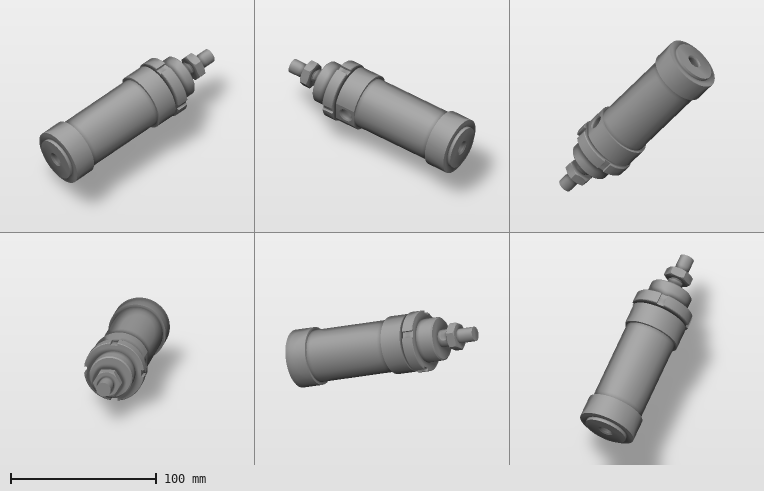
import cadquery as cq
import math


REAR_BOSS_END = 2.4
REAR_CAP_END = 17.6
HEAD_START = 76.6
HEAD_END = 91.4
RING_START = 93.3
RING_END = 101.4
NOSE_END = 113.5
COLLAR_END = 119.7
NUT_START = 121.5
NUT_END = 127.6
ROD_TIP = 139.5

CAP_DIAMETER = 40.0
TUBE_DIAMETER = 36.0
BOSS_DIAMETER = 30.0
NOSE_CHAMFER = 0.8

PORT_DIAMETER = 8.6
PORT_MOUTH_DIAMETER = 10.5
PORT_CHAMFER = (PORT_MOUTH_DIAMETER - PORT_DIAMETER) / 2
PORT_TIP_ANGLE = 118
REAR_PORT_DEPTH = 9.8
SIDE_PORT_DEPTH = 9.8
SIDE_PORT_Y = 83.4
PORT_FLAT_OFFSET = 18.7

COLLAR_DIAMETER = 12.0
NECK_DIAMETER = 8.8
THREAD_DIAMETER = 10.0
ROD_FLAT_WIDTH = 10.3
ROD_FLAT_LENGTH = 3.5
RUNOUT_LENGTH = 1.4
ROD_SOCKET_DEPTH = 14.0

NUT_ACROSS_FLATS = 17.0
NUT_CHAMFER_LENGTH = 0.7

RING_DIAMETER = 42.0
RING_CHAMFER = 0.4
SLOT_WIDTH = 4.7
SLOT_DEPTH = 2.1
SLOT_COUNT = 4


def cylinder(diameter, start, end):
    """Solid cylinder about the Y axis between two Y stations."""
    plane = cq.Plane(origin=(0, start, 0), xDir=(1, 0, 0), normal=(0, 1, 0))
    return cq.Workplane(plane).circle(diameter / 2).extrude(end - start)


def revolve_about_y(points):
    """Solid of revolution from (radius, Y) points."""
    return cq.Workplane("XY").polyline(points).close().revolve(360, (0, 0, 0), (0, 1, 0))


def rear_port():
    """Countersunk blind hole with a conical bottom, opening at the rear face."""
    radius = PORT_DIAMETER / 2
    tip_length = radius / math.tan(math.radians(PORT_TIP_ANGLE / 2))
    return revolve_about_y([
        (0, 0),
        (radius + PORT_CHAMFER, 0),
        (radius, PORT_CHAMFER),
        (radius, REAR_PORT_DEPTH),
        (0, REAR_PORT_DEPTH + tip_length),
    ])


def side_port():
    """Countersunk flat-bottomed hole running in +X from the flat of the head."""
    plane = cq.Plane(origin=(-PORT_FLAT_OFFSET, SIDE_PORT_Y, 0), xDir=(0, 1, 0), normal=(1, 0, 0))
    bore = cq.Workplane(plane).circle(PORT_DIAMETER / 2).extrude(SIDE_PORT_DEPTH)
    mouth = (
        cq.Workplane(plane)
        .circle(PORT_MOUTH_DIAMETER / 2)
        .workplane(offset=PORT_CHAMFER)
        .circle(PORT_DIAMETER / 2)
        .loft()
    )
    return bore.union(mouth)


def make_housing():
    """Rear cap, tube, head and nose, with both ports and the rod socket."""
    rear_cap = cylinder(CAP_DIAMETER, REAR_BOSS_END, REAR_CAP_END)
    head = cylinder(CAP_DIAMETER, HEAD_START, HEAD_END)
    flat_cut = cq.Workplane("XY").box(
        CAP_DIAMETER, HEAD_END - HEAD_START, CAP_DIAMETER, centered=(True, False, True)
    ).translate((-PORT_FLAT_OFFSET - CAP_DIAMETER / 2, HEAD_START, 0))
    nose = cylinder(BOSS_DIAMETER, HEAD_END, NOSE_END).faces(">Y").chamfer(NOSE_CHAMFER)
    return (
        cylinder(BOSS_DIAMETER, 0, REAR_BOSS_END)
        .union(rear_cap)
        .union(cylinder(TUBE_DIAMETER, REAR_CAP_END, HEAD_START))
        .union(head.cut(flat_cut))
        .union(nose)
        .cut(rear_port())
        .cut(side_port())
        .cut(cylinder(COLLAR_DIAMETER, NOSE_END - ROD_SOCKET_DEPTH, NOSE_END))
    )


def wrench_flat_cut():
    """Cutter for the flat on the +X side of the collar, sloping out at its inner end."""
    flat_x = ROD_FLAT_WIDTH / 2
    outer_x = COLLAR_DIAMETER / 2
    flat_end = COLLAR_END - ROD_FLAT_LENGTH
    profile = [
        (flat_x, COLLAR_END),
        (flat_x, flat_end),
        (outer_x, flat_end - RUNOUT_LENGTH),
        (outer_x, COLLAR_END),
    ]
    return cq.Workplane("XY").polyline(profile).close().extrude(COLLAR_DIAMETER / 2, both=True)


def make_rod():
    """Piston rod with a wrench collar, a relief neck and a plain threaded end."""
    flat = wrench_flat_cut()
    return (
        cylinder(COLLAR_DIAMETER, NOSE_END - ROD_SOCKET_DEPTH, COLLAR_END)
        .cut(flat)
        .cut(flat.mirror("YZ"))
        .union(cylinder(NECK_DIAMETER, COLLAR_END, NUT_START))
        .union(cylinder(THREAD_DIAMETER, NUT_START, ROD_TIP))
    )


def make_nut():
    """Hexagon nut with corners on the X axis and both ends turned conical."""
    corner_radius = NUT_ACROSS_FLATS / math.sqrt(3)
    face_radius = NUT_ACROSS_FLATS / 2
    plane = cq.Plane(origin=(0, NUT_START, 0), xDir=(1, 0, 0), normal=(0, 1, 0))
    hexagon = cq.Workplane(plane).polygon(6, 2 * corner_radius).extrude(NUT_END - NUT_START)
    turned_blank = revolve_about_y([
        (0, NUT_START),
        (face_radius, NUT_START),
        (corner_radius, NUT_START + NUT_CHAMFER_LENGTH),
        (corner_radius, NUT_END - NUT_CHAMFER_LENGTH),
        (face_radius, NUT_END),
        (0, NUT_END),
    ])
    return hexagon.intersect(turned_blank).cut(cylinder(THREAD_DIAMETER, NUT_START, NUT_END))


def make_lock_ring():
    """Chamfered ring around the nose, with spanner slots in its rim."""
    ring = cylinder(RING_DIAMETER, RING_START, RING_END).edges().chamfer(RING_CHAMFER)
    ring = ring.cut(cylinder(BOSS_DIAMETER, RING_START, RING_END))
    slot = cq.Workplane("XY").box(
        2 * SLOT_DEPTH, RING_END - RING_START, SLOT_WIDTH, centered=(True, False, True)
    ).translate((RING_DIAMETER / 2, RING_START, 0))
    for index in range(SLOT_COUNT):
        ring = ring.cut(slot.rotate((0, 0, 0), (0, 1, 0), index * 360 / SLOT_COUNT))
    return ring


housing = make_housing()
rod = make_rod()
nut = make_nut()
lock_ring = make_lock_ring()

result = cq.Compound.makeCompound([housing.val(), rod.val(), nut.val(), lock_ring.val()])